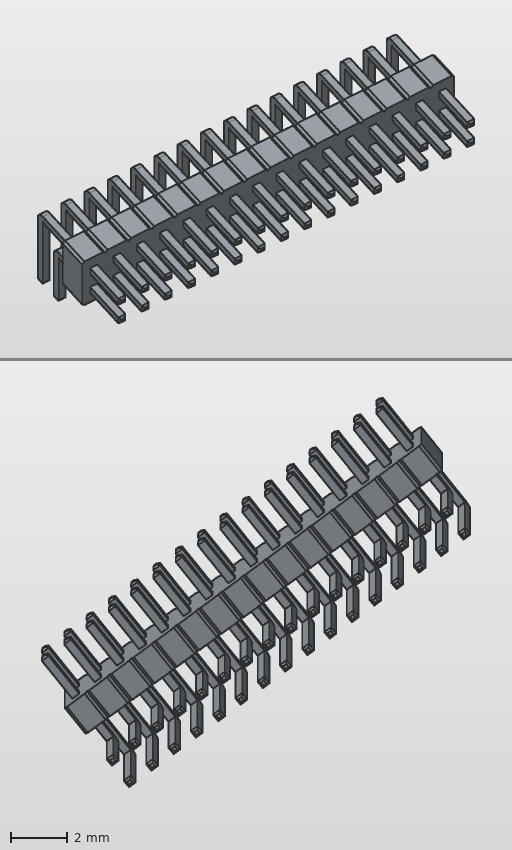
import cadquery as cq

POSITIONS = 16
TOTAL_LENGTH = 16.0
PITCH = TOTAL_LENGTH / POSITIONS

TOTAL_WIDTH = 5.15
TOTAL_HEIGHT = 4.13

BODY_WIDTH = 1.22
BODY_HEIGHT = 2.3
BODY_CHAMFER = 0.1

PIN_SIZE = 0.3
TIP_LENGTH = 0.08
TIP_INSET = 0.08
UPPER_LEG_REACH = 2.08

BACK_X = -BODY_WIDTH / 2
LEG_X = BACK_X - UPPER_LEG_REACH
FRONT_TIP_X = LEG_X + TOTAL_WIDTH
BOTTOM_TIP_Z = BODY_HEIGHT / 2 - TOTAL_HEIGHT


def body_segment():
    """One body position; chamfered edges leave V-notches between neighbours."""
    return cq.Workplane("XY").box(BODY_WIDTH, PITCH, BODY_HEIGHT).edges("|X").chamfer(BODY_CHAMFER)


def tapered_tip(plane):
    """Pin tip narrowing along the plane's normal, starting at the plane's origin."""
    end_size = PIN_SIZE - 2 * TIP_INSET
    return (
        cq.Workplane(plane)
        .rect(PIN_SIZE, PIN_SIZE)
        .workplane(offset=TIP_LENGTH)
        .rect(end_size, end_size)
        .loft(ruled=True)
    )


def bent_pin(leg_x, axis_z):
    """Square pin with a horizontal post at height axis_z and a leg whose outside is at leg_x."""
    top_z = axis_z + PIN_SIZE / 2
    post_end_x = FRONT_TIP_X - TIP_LENGTH
    leg_end_z = BOTTOM_TIP_Z + TIP_LENGTH
    inner_x = leg_x + PIN_SIZE
    inner_z = top_z - PIN_SIZE

    profile = (
        cq.Workplane("XZ")
        .moveTo(leg_x, leg_end_z)
        .lineTo(leg_x, inner_z)
        .radiusArc((inner_x, top_z), PIN_SIZE)
        .lineTo(post_end_x, top_z)
        .lineTo(post_end_x, inner_z)
        .lineTo(inner_x, inner_z)
        .lineTo(inner_x, leg_end_z)
        .close()
    )
    bar = profile.extrude(PIN_SIZE / 2, both=True)

    post_tip = tapered_tip(cq.Plane(origin=(post_end_x, 0, axis_z), xDir=(0, 1, 0), normal=(1, 0, 0)))
    leg_axis_x = leg_x + PIN_SIZE / 2
    leg_tip = tapered_tip(cq.Plane(origin=(leg_axis_x, 0, leg_end_z), xDir=(1, 0, 0), normal=(0, 0, -1)))
    return bar.union(post_tip).union(leg_tip)


upper_pin = bent_pin(LEG_X, PITCH / 2)
lower_pin = bent_pin(LEG_X + PITCH, -PITCH / 2)
position = body_segment().union(upper_pin).union(lower_pin)

result = position
for index in range(1, POSITIONS):
    result = result.union(position.translate((0, index * PITCH, 0)))
result = result.translate((0, (PITCH - TOTAL_LENGTH) / 2, 0))